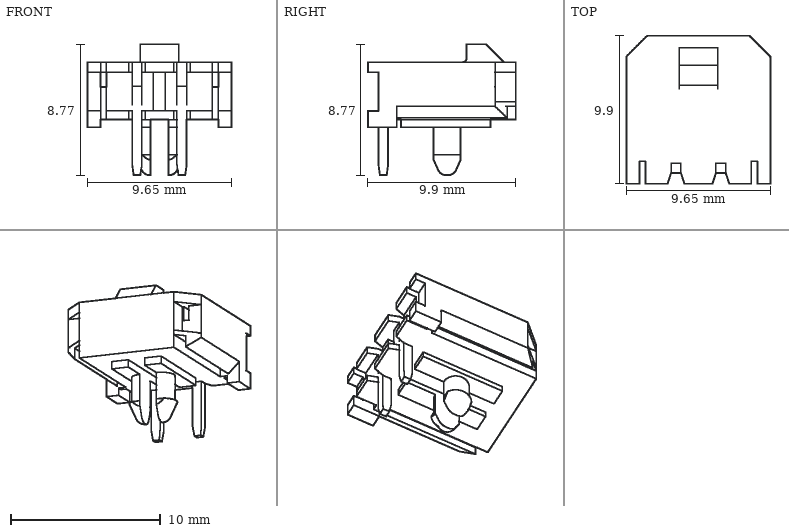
import cadquery as cq
import math


width = 9.65
length = 9.9
top_z = 4.37
bottom_z = 0.5
corner_chamfer = 1.4

face_y = 0.7
top_flange_thickness = 0.69
bottom_flange_top_z = 1.09
foot_width = 0.89
foot_depth = 1.94
slot_width = 0.39
slot_depth = 1.5
groove_width = 0.81
groove_depth = 0.48

core_half_width = width / 2 - corner_chamfer
lip_inset = 0.8
lip_bottom_z = 0.63
lip_top_z = 1.4
window_bottom_z = 2.7
notch_bottom_z = 1.7

latch_width = 2.59
latch_height = 1.19
latch_front_y = 6.59
latch_back_y = 9.1
latch_fillet = 0.24

pin_pitch = 3.0
pin_size = 0.65
pin_tip_size = 0.47
pin_bottom_z = -3.21
pin_taper_height = 0.69
bend_bottom_z = 1.5
bend_top_z = 2.74
flare_width = 1.11

split_half_gap = 0.59
peg_y = 5.3
peg_radius = 0.91
cone_top_radius = 1.07
cone_top_z = -1.82
nose_radius = 0.61
nose_top_z = -2.84
nose_flat_radius = 0.15
pad_outer_x = 1.78
pad_start_y = 2.2
pad_end_y = 8.21

pin_back_y = face_y + pin_size
flange_z = top_z - top_flange_thickness
foot_inner_x = width / 2 - foot_width


def block(x0, x1, y0, y1, z0, z1):
    """Box between opposite corners."""
    return cq.Workplane("XY").box(x1 - x0, y1 - y0, z1 - z0, centered=False).translate((x0, y0, z0))


def both_sides(shape):
    """A shape together with its mirror image across X = 0."""
    return shape.union(shape.mirror("YZ"))


def housing():
    """Solid block with chamfered mating corners and feet on the pin side."""
    body = block(-width / 2, width / 2, 0, length, bottom_z, top_z)
    body = body.edges("|Z and >Y").chamfer(corner_chamfer)
    foot = block(foot_inner_x, width / 2, 0, foot_depth, 0, top_z)
    return body.union(both_sides(foot))


def wall_cuts():
    """Recess between the flanges, centre groove and the two narrow end slots."""
    recess = block(-width / 2, width / 2, 0, face_y, bottom_flange_top_z, flange_z)
    groove = block(-groove_width / 2, groove_width / 2, 0, face_y + groove_depth,
                   bottom_flange_top_z, flange_z)
    slot = block(foot_inner_x - slot_width, foot_inner_x, 0, slot_depth, 0, top_z)
    return recess.union(groove).union(both_sides(slot))


def side_cuts():
    """Undercut lower edge, through window and mating corner notch on each side."""
    outer_x = width / 2
    lip_x = outer_x - lip_inset
    undercut = (
        cq.Workplane("XZ", origin=(0, foot_depth, 0))
        .moveTo(outer_x, lip_top_z)
        .lineTo(lip_x, lip_bottom_z)
        .lineTo(lip_x, lip_top_z)
        .lineTo(core_half_width, lip_top_z)
        .lineTo(core_half_width, bottom_z)
        .lineTo(outer_x, bottom_z)
        .close()
        .extrude(foot_depth - length)
    )
    window = block(foot_inner_x - slot_width, foot_inner_x, 0, length, window_bottom_z, flange_z)
    notch = block(core_half_width, outer_x, length - corner_chamfer, length,
                  notch_bottom_z, flange_z)
    return both_sides(undercut.union(window).union(notch))


def pin_notch():
    """Open-topped pin groove, flared towards the outside through the flanges."""
    outline = [
        (-flare_width / 2, 0),
        (-pin_size / 2, face_y),
        (-pin_size / 2, pin_back_y),
        (pin_size / 2, pin_back_y),
        (pin_size / 2, face_y),
        (flare_width / 2, 0),
    ]
    return cq.Workplane("XY").polyline(outline).close().extrude(top_z)


def pin():
    """Square pin with a rounded bend above and a tapered tip below."""
    bend_height = bend_top_z - bend_bottom_z
    bend_radius = (pin_size**2 + bend_height**2) / (2 * pin_size)
    half_angle = math.atan2(pin_size, bend_height)
    arc_middle = (
        face_y + bend_radius * (1 - math.cos(half_angle)),
        bend_bottom_z + bend_radius * math.sin(half_angle),
    )
    taper_z = pin_bottom_z + pin_taper_height
    shank = (
        cq.Workplane("YZ", origin=(-pin_size / 2, 0, 0))
        .moveTo(face_y, taper_z)
        .lineTo(face_y, bend_bottom_z)
        .threePointArc(arc_middle, (pin_back_y, bend_top_z))
        .lineTo(pin_back_y, taper_z)
        .close()
        .extrude(pin_size)
    )
    tip = (
        cq.Workplane("XY", origin=(0, face_y + pin_size / 2, pin_bottom_z))
        .rect(pin_tip_size, pin_tip_size)
        .workplane(offset=pin_taper_height)
        .rect(pin_size, pin_size)
        .loft()
    )
    return shank.union(tip)


def latch():
    """Locking ramp with a filleted foot under its steep face."""
    roof_z = top_z + latch_height
    blend = latch_fillet * (1 - math.sqrt(0.5))
    return (
        cq.Workplane("YZ", origin=(-latch_width / 2, 0, 0))
        .moveTo(latch_back_y, top_z)
        .lineTo(latch_back_y - latch_height, roof_z)
        .lineTo(latch_front_y, roof_z)
        .lineTo(latch_front_y, top_z + latch_fillet)
        .threePointArc((latch_front_y - blend, top_z + blend), (latch_front_y - latch_fillet, top_z))
        .close()
        .extrude(latch_width)
    )


def peg_half():
    """One half of the split peg: pad, half-round post and round-nosed cone with flattened flanks."""
    pad = block(split_half_gap, pad_outer_x, pad_start_y, pad_end_y, 0, bottom_z)
    post = cq.Workplane("XY", origin=(0, 0, cone_top_z)).circle(peg_radius).extrude(-cone_top_z)
    nose = (
        cq.Workplane("XZ")
        .moveTo(0, cone_top_z)
        .lineTo(cone_top_radius, cone_top_z)
        .lineTo(nose_radius, nose_top_z)
        .tangentArcPoint((nose_flat_radius, pin_bottom_z), relative=False)
        .lineTo(0, pin_bottom_z)
        .close()
        .revolve(360, (0, 0), (0, 1))
    )
    outer_half = block(0, cone_top_radius, -peg_radius, peg_radius, pin_bottom_z, 0)
    half_post = post.union(nose).intersect(outer_half)
    return pad.union(half_post.translate((split_half_gap, peg_y, 0)))


result = housing().cut(wall_cuts()).cut(side_cuts())
for pin_x in (-pin_pitch / 2, pin_pitch / 2):
    result = result.cut(pin_notch().translate((pin_x, 0, 0)))
    result = result.union(pin().translate((pin_x, 0, 0)))
result = result.union(latch()).union(both_sides(peg_half()))